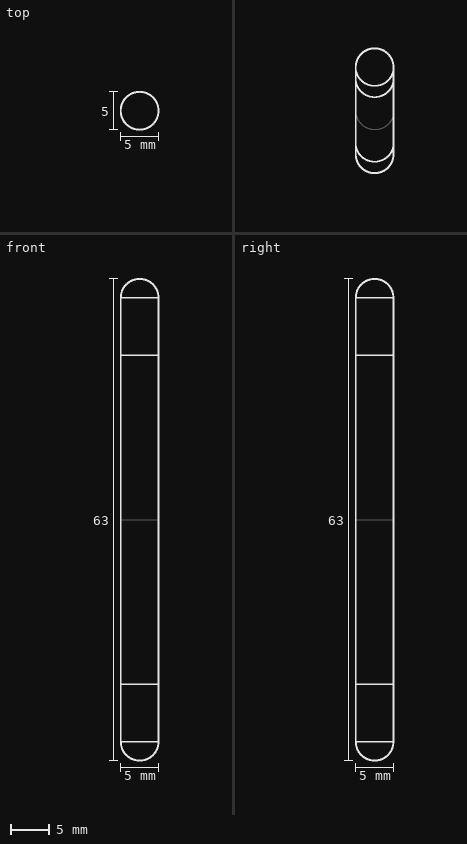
import cadquery as cq

total_length = 63.0
rod_diameter = 5.0
collar_length = 7.5

rod_radius = rod_diameter / 2
dome_base = total_length / 2 - rod_radius
collar_base = dome_base - collar_length


def make_rod():
    """Plain middle rod, centred on the origin along Z."""
    return cq.Workplane("XY").circle(rod_radius).extrude(collar_base, both=True)


def make_collar(side):
    """Cylinder that extends the rod at the upper (+1) or lower (-1) end."""
    return (
        cq.Workplane("XY")
        .workplane(offset=side * collar_base)
        .circle(rod_radius)
        .extrude(side * collar_length)
    )


def make_dome(side):
    """Hemispherical tip at the upper (+1) or lower (-1) end."""
    arc_offset = rod_radius / 2**0.5
    return (
        cq.Workplane("XZ")
        .moveTo(0, side * dome_base)
        .lineTo(rod_radius, side * dome_base)
        .threePointArc(
            (arc_offset, side * (dome_base + arc_offset)),
            (0, side * total_length / 2),
        )
        .close()
        .revolve(360, (0, 0, 0), (0, 1, 0))
    )


ends = (1, -1)
rod = make_rod()
collars = [make_collar(side).val() for side in ends]
domes = [make_dome(side).val() for side in ends]

result = cq.Compound.makeCompound([rod.val(), *collars, *domes])